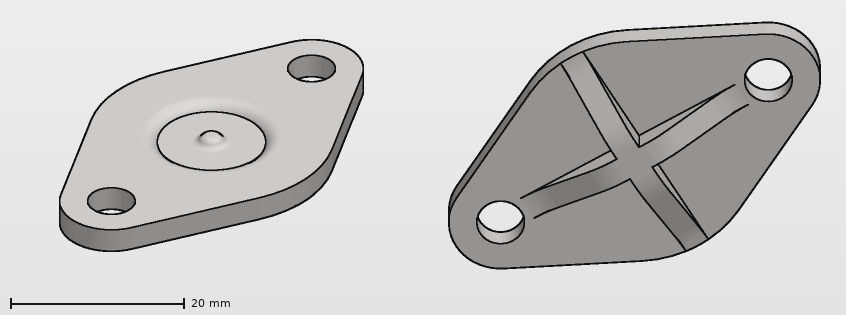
import cadquery as cq
import math

plate_thickness = 3.0
body_radius = 14.25
ear_radius = 6.0
hole_offset = 18.0
hole_diameter = 5.5

recess_depth = 1.0
recess_rim_radius = 8.0
recess_wall_radius = 2.0
nub_tip_radius = 0.5
nub_arc_radius = 1.0

rib_width = 3.0
rib_height = 3.0
rib_blend_radius = 10.0
rib_foot_reach = 3.75
cross_rib_reach = 13.25
long_rib_reach = 12.75


def arc_point(start_x, start_z, radius, angle, x_sign, z_sign):
    """Point reached after turning through the angle from the level end of an arc."""
    return (
        start_x + x_sign * radius * math.sin(angle),
        start_z + z_sign * radius * (1 - math.cos(angle)),
    )


def make_plate_block(bottom_z, height):
    """Prism with the outline of the plate."""
    tangent_angle = math.asin((body_radius - ear_radius) / hole_offset)
    normal_x = math.cos(tangent_angle)
    normal_y = math.sin(tangent_angle)
    body_x = body_radius * normal_x
    body_y = body_radius * normal_y
    ear_x = ear_radius * normal_x
    ear_y = hole_offset + ear_radius * normal_y
    ear_tip = hole_offset + ear_radius
    return (
        cq.Workplane("XY", origin=(0, 0, bottom_z))
        .moveTo(body_x, -body_y)
        .threePointArc((body_radius, 0), (body_x, body_y))
        .lineTo(ear_x, ear_y)
        .threePointArc((0, ear_tip), (-ear_x, ear_y))
        .lineTo(-body_x, body_y)
        .threePointArc((-body_radius, 0), (-body_x, -body_y))
        .lineTo(-ear_x, -ear_y)
        .threePointArc((0, -ear_tip), (ear_x, -ear_y))
        .close()
        .extrude(height)
    )


def make_mounting_holes():
    return (
        cq.Workplane("XY")
        .pushPoints([(0, hole_offset), (0, -hole_offset)])
        .circle(hole_diameter / 2)
        .extrude(plate_thickness)
    )


def make_recess():
    """Ring-shaped cut: rounded wall outside, S-shaped nub flank inside."""
    top_z = plate_thickness
    floor_z = top_z - recess_depth
    nub_angle = math.acos(1 - recess_depth / 2 / nub_arc_radius)
    nub_base_radius = nub_tip_radius + 2 * nub_arc_radius * math.sin(nub_angle)
    nub_crown_middle = arc_point(nub_tip_radius, top_z, nub_arc_radius, nub_angle / 2, 1, -1)
    nub_flank = arc_point(nub_tip_radius, top_z, nub_arc_radius, nub_angle, 1, -1)
    nub_foot_middle = arc_point(nub_base_radius, floor_z, nub_arc_radius, nub_angle / 2, -1, 1)
    wall_angle = math.acos(1 - recess_depth / recess_wall_radius)
    wall_middle = arc_point(recess_rim_radius, top_z, recess_wall_radius, wall_angle / 2, -1, -1)
    wall_foot = arc_point(recess_rim_radius, top_z, recess_wall_radius, wall_angle, -1, -1)
    return (
        cq.Workplane("XZ")
        .moveTo(nub_tip_radius, top_z)
        .threePointArc(nub_crown_middle, nub_flank)
        .threePointArc(nub_foot_middle, (nub_base_radius, floor_z))
        .lineTo(*wall_foot)
        .threePointArc(wall_middle, (recess_rim_radius, top_z))
        .close()
        .revolve(360, (0, 0, 0), (0, 1, 0))
    )


def make_rib(top_reach):
    """Rib along X, with a level middle and slopes blended into the plate."""
    slope = math.atan2(rib_height, top_reach - rib_foot_reach)
    blend_tangent = rib_blend_radius * math.tan(slope / 2)
    tip_x = top_reach + blend_tangent
    flat_x = rib_foot_reach - blend_tangent
    low_z = -rib_height
    tip_middle = arc_point(tip_x, 0, rib_blend_radius, slope / 2, -1, -1)
    slope_top = arc_point(tip_x, 0, rib_blend_radius, slope, -1, -1)
    slope_foot = arc_point(flat_x, low_z, rib_blend_radius, slope, 1, 1)
    foot_middle = arc_point(flat_x, low_z, rib_blend_radius, slope / 2, 1, 1)
    half_rib = (
        cq.Workplane("XZ")
        .moveTo(0, 0)
        .lineTo(tip_x, 0)
        .threePointArc(tip_middle, slope_top)
        .lineTo(*slope_foot)
        .threePointArc(foot_middle, (flat_x, low_z))
        .lineTo(0, low_z)
        .close()
        .extrude(rib_width / 2, both=True)
    )
    return half_rib.union(half_rib.mirror("YZ"))


def make_crossed_ribs():
    """Ribs along X and Y, trimmed where a thin tip would pass the plate edge."""
    cross_rib = make_rib(cross_rib_reach)
    long_rib = make_rib(long_rib_reach).rotate((0, 0, 0), (0, 0, 1), 90)
    return cross_rib.union(long_rib).intersect(make_plate_block(-rib_height, rib_height))


plate = make_plate_block(0, plate_thickness)
result = plate.union(make_crossed_ribs()).cut(make_mounting_holes()).cut(make_recess())